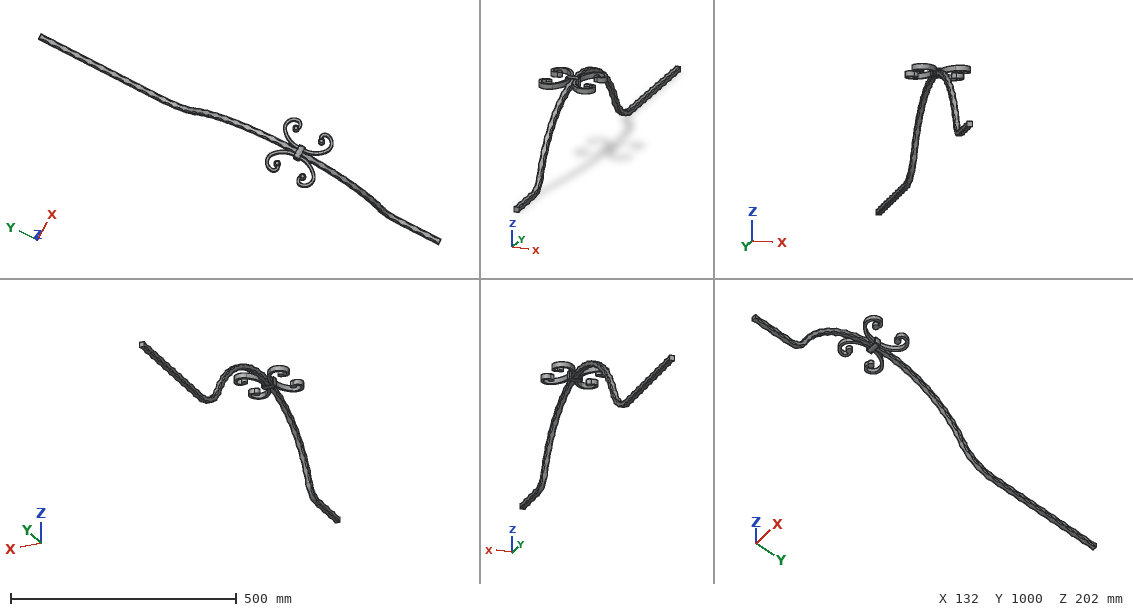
import cadquery as cq
import math

bar_length = 1000.0
bar_size = 12.0
bar_half = bar_size / 2
arch_radius = 259.0
arch_y = -115.0
arch_top_z = 199.0
rear_bend_radius = 107.0
front_bend_radius = 46.0

arch_z = arch_top_z - bar_half - arch_radius
rise = bar_half - arch_z
rear_angle = math.acos((rise + rear_bend_radius) / (arch_radius + rear_bend_radius))
front_angle = math.acos((rise + front_bend_radius) / (arch_radius + front_bend_radius))
rear_bend_y = arch_y + (arch_radius + rear_bend_radius) * math.sin(rear_angle)
front_bend_y = arch_y - (arch_radius + front_bend_radius) * math.sin(front_angle)

dent_count = 37
dent_length = 29.0
dent_setback = 3.0
dent_depth = dent_setback / math.sqrt(2)
cutter_reach = 6.0
cutter_width = 10.0

scroll_y = -149.0
scroll_thickness = 6.0
scroll_height = 12.0
scroll_z = 187.0
scroll_half_span = 66.0
curl_offset_y = 36.0
curl_radius = 20.0
eye_radius = 9.5
eye_end_angle = -26.0
knob_radius = 7.0
knob_height = 14.0
knob_chamfer = 3.0

collar_width = 14.0
collar_rim = 2.0
collar_side_rim = 3.0
collar_bulge = 1.0
collar_chamfer = 2.0
collar_inside_height = 16.0

scroll_middle_x = bar_half + scroll_thickness / 2
collar_half_x = bar_half + scroll_thickness
opening_top_z = scroll_z + scroll_height


def arch_point(radius, angle):
    """YZ point on a circle about the arch centre, angle from the vertical towards +Y."""
    return (arch_y + radius * math.sin(angle), arch_z + radius * math.cos(angle))


def bend_point(bend_y, bend_radius, radius, angle):
    """YZ point on a circle about a foot bend's centre, angle from straight down towards +Y."""
    centre_z = bar_half + bend_radius
    return (bend_y + radius * math.sin(angle), centre_z - radius * math.cos(angle))


def make_plain_bar():
    end_y = bar_length / 2
    upper = arch_radius + bar_half
    lower = arch_radius - bar_half
    rear_in = rear_bend_radius - bar_half
    rear_out = rear_bend_radius + bar_half
    front_in = front_bend_radius - bar_half
    front_out = front_bend_radius + bar_half
    middle_angle = (rear_angle - front_angle) / 2

    def rear(radius, angle):
        return bend_point(rear_bend_y, rear_bend_radius, radius, -angle)

    def front(radius, angle):
        return bend_point(front_bend_y, front_bend_radius, radius, angle)

    outline = (
        cq.Workplane("YZ", origin=(-bar_half, 0, 0))
        .moveTo(end_y, 0)
        .lineTo(end_y, bar_size)
        .lineTo(*rear(rear_in, 0))
        .threePointArc(rear(rear_in, rear_angle / 2), rear(rear_in, rear_angle))
        .threePointArc(arch_point(upper, middle_angle), arch_point(upper, -front_angle))
        .threePointArc(front(front_in, front_angle / 2), front(front_in, 0))
        .lineTo(-end_y, bar_size)
        .lineTo(-end_y, 0)
        .lineTo(*front(front_out, 0))
        .threePointArc(front(front_out, front_angle / 2), front(front_out, front_angle))
        .threePointArc(arch_point(lower, middle_angle), arch_point(lower, rear_angle))
        .threePointArc(rear(rear_out, rear_angle / 2), rear(rear_out, 0))
        .close()
    )
    return outline.extrude(bar_size)


centreline = [
    (bar_length / 2 - rear_bend_y, 0.0),
    (rear_bend_radius * rear_angle, 1 / rear_bend_radius),
    (arch_radius * (rear_angle + front_angle), -1 / arch_radius),
    (front_bend_radius * front_angle, 1 / front_bend_radius),
    (bar_length / 2 + front_bend_y, 0.0),
]
centreline_length = sum(length for length, _ in centreline)


def along_centreline(distance):
    """Y, Z, slope angle and curvature of the centreline at a distance from its +Y end."""
    y = bar_length / 2
    z = bar_half
    slope = 0.0
    for length, curvature in centreline:
        step = min(distance, length)
        turn = step * curvature
        chord = step if turn == 0 else 2 * math.sin(turn / 2) / curvature
        y -= chord * math.cos(slope + turn / 2)
        z += chord * math.sin(slope + turn / 2)
        slope += turn
        distance -= step
        if distance <= 0:
            break
    return y, z, slope, curvature


def make_dent_cutter(distance, side_x, side_up):
    """Prism that scoops one shallow dent out of one corner of the bar."""
    y, z, slope, curvature = along_centreline(distance)
    forward = cq.Vector(0, -math.cos(slope), math.sin(slope))
    up = cq.Vector(0, math.sin(slope), math.cos(slope))
    outward = (cq.Vector(side_x, 0, 0) + up * side_up).normalized()
    corner = cq.Vector(0, y, z) + outward * (bar_half * math.sqrt(2))

    corner_curvature = curvature / (1 - curvature * side_up * bar_half)
    half = dent_length / 2
    end_rise = side_up * corner_curvature * half**2 / 2 / math.sqrt(2)

    across = forward.cross(outward)
    plane = cq.Plane(origin=corner - across * (cutter_width / 2), xDir=forward, normal=across)
    return (
        cq.Workplane(plane)
        .moveTo(-half, end_rise)
        .threePointArc((0, -dent_depth), (half, end_rise))
        .lineTo(half, cutter_reach)
        .lineTo(-half, cutter_reach)
        .close()
        .extrude(cutter_width)
        .val()
    )


def make_bar():
    pitch = centreline_length / dent_count
    cutters = [
        make_dent_cutter((i + 0.5) * pitch, side_x, side_up)
        for i in range(dent_count)
        for side_x in (-1, 1)
        for side_up in (-1, 1)
    ]
    return make_plain_bar().val().cut(*cutters)


def make_scroll():
    """The scroll on the +X side of the bar."""
    curl_x = scroll_half_span - scroll_thickness / 2 - curl_radius
    straight = collar_width / 2
    dx = curl_x - scroll_middle_x
    dy = curl_offset_y - straight
    arm_radius = (dx**2 + dy**2 - curl_radius**2) / (2 * (dx - curl_radius))
    arm_x = scroll_middle_x + arm_radius
    arm_angle = math.atan2(dy, arm_x - curl_x)
    eye_x = curl_x + curl_radius - eye_radius
    eye_end = math.radians(eye_end_angle)

    def arc_point(x, y, radius, angle):
        """Point on a circle, angle from the -X direction towards +Y."""
        return (x - radius * math.cos(angle), y + radius * math.sin(angle))

    knob_centre = arc_point(eye_x, curl_offset_y, eye_radius, eye_end)
    path = (
        cq.Workplane("XY", origin=(0, scroll_y, scroll_z + scroll_height / 2))
        .moveTo(scroll_middle_x, 0)
        .lineTo(scroll_middle_x, straight)
        .threePointArc(
            arc_point(arm_x, straight, arm_radius, arm_angle / 2),
            arc_point(curl_x, curl_offset_y, curl_radius, arm_angle),
        )
        .threePointArc(
            arc_point(curl_x, curl_offset_y, curl_radius, (arm_angle + math.pi) / 2),
            (curl_x + curl_radius, curl_offset_y),
        )
        .threePointArc((eye_x, curl_offset_y - eye_radius), knob_centre)
    )
    strip = (
        cq.Workplane("XZ", origin=(scroll_middle_x, scroll_y, scroll_z + scroll_height / 2))
        .rect(scroll_thickness, scroll_height)
        .sweep(path)
    )
    knob = (
        cq.Workplane("XY", origin=(0, scroll_y, scroll_z))
        .center(*knob_centre)
        .circle(knob_radius)
        .extrude(knob_height)
        .faces(">Z")
        .chamfer(knob_chamfer)
    )
    half = strip.union(knob)
    return half.union(half.mirror("XZ", (0, scroll_y, 0)))


def bulged_profile(plane, half_height):
    """Band section: straight rims with both broad sides arched outwards by the bulge."""
    half_width = collar_width / 2
    return (
        plane.moveTo(-half_width, -half_height)
        .threePointArc((0, -half_height - collar_bulge), (half_width, -half_height))
        .lineTo(half_width, half_height)
        .threePointArc((0, half_height + collar_bulge), (-half_width, half_height))
        .close()
    )


def make_collar():
    rim_x = collar_half_x + collar_side_rim
    rim_z = collar_inside_height / 2 + collar_rim
    outer_x = 2 * (rim_x + collar_bulge)
    outer_z = 2 * (rim_z + collar_bulge)
    block = cq.Workplane("XY").box(outer_x, collar_width, outer_z).edges("|Y").chamfer(collar_chamfer)
    arched_z = bulged_profile(cq.Workplane("YZ"), rim_z).extrude(outer_x, both=True)
    arched_x = bulged_profile(cq.Workplane("YX"), rim_x).extrude(outer_z, both=True)
    opening = cq.Workplane("XY").box(2 * collar_half_x, 2 * collar_width, collar_inside_height)
    collar = block.intersect(arched_z).intersect(arched_x).cut(opening)
    return collar.translate((0, scroll_y, opening_top_z - collar_inside_height / 2))


bar = make_bar()
right_scroll = make_scroll()
left_scroll = right_scroll.mirror("YZ")
collar = make_collar()

result = cq.Compound.makeCompound(
    [*bar.Solids(), right_scroll.val(), left_scroll.val(), collar.val()]
)